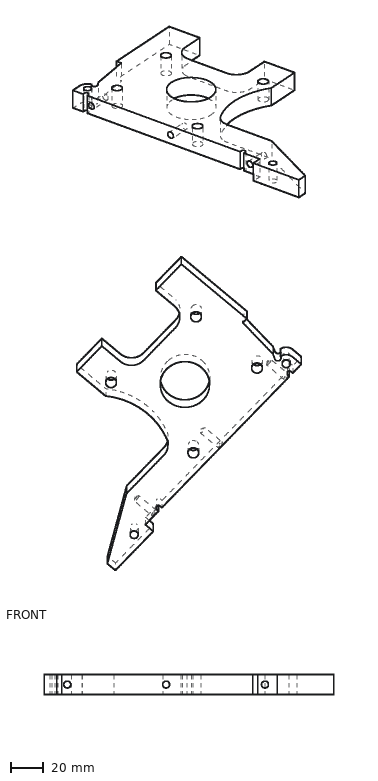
import cadquery as cq
import math

length = 176.0
depth = 104.5
thickness = 12.3
front_edge_y = 6.5
tab_left_x = 141.5

slot_left_x = 23.2
slot_width = 49.0
slot_floor_y = 79.4
prong_right_x = 95.0
corner_radius = 10.0

sweep_radius = 46.0
sweep_left_x = 86.6
sweep_center_y = 54.4
arm_top_y = 28.7
arm_slope_start_x = 134.0

step_y = 50.9
step_width = 3.5
slant_angle = 6.3
relief_center = (6.5, 19.9)
relief_radius = 2.0
slant_end_y = 23.8
lobe_radius = 6.0
lobe_center = (lobe_radius, 13.5)

notch_width = 3.0
notch_depth = 2.8
first_notch_x = 9.3
notch_spacing = 118.8

bore_center = (57.2, 50.2)
bore_diameter = 30.0
mount_hole_diameter = 6.5
mount_hole_centers = [(19.7, 74.8), (19.9, 24.8), (86.2, 84.3), (87.1, 16.4)]
pin_hole_diameter = 5.0
pin_hole_centers = [lobe_center, (151.0, 7.2)]

edge_hole_diameter = 4.2
edge_hole_depth = 14.0
edge_hole_spacing = 60.0
first_edge_hole_x = 14.0
edge_hole_count = 3
drill_point_angle = 118.0


def plate():
    """Extruded outline, before the notches, relief and holes are cut."""
    sweep_center_x = sweep_left_x + sweep_radius
    sweep_top_y = sweep_center_y + math.sqrt(sweep_radius**2 - (sweep_center_x - prong_right_x) ** 2)

    center_distance = sweep_radius - corner_radius
    blend_center_y = arm_top_y + corner_radius
    blend_drop = sweep_center_y - blend_center_y
    blend_center_x = sweep_center_x - math.sqrt(center_distance**2 - blend_drop**2)
    blend_angle = math.asin(blend_drop / center_distance)
    blend_start = (
        sweep_center_x - sweep_radius * math.cos(blend_angle),
        sweep_center_y - sweep_radius * math.sin(blend_angle),
    )
    middle_angle = (blend_angle + math.pi / 2) / 2
    blend_middle = (
        blend_center_x - corner_radius * math.cos(middle_angle),
        blend_center_y - corner_radius * math.sin(middle_angle),
    )

    slant = math.tan(math.radians(slant_angle))
    step_inner_y = step_y + step_width * slant
    slant_end_x = step_width + (step_inner_y - slant_end_y) * slant

    relief_dx = slant_end_x - relief_center[0]
    relief_dy = slant_end_y - relief_center[1]
    relief_distance = math.hypot(relief_dx, relief_dy)
    tangent_angle = math.atan2(relief_dy, relief_dx) - math.acos(relief_radius / relief_distance)
    flat_end = (
        relief_center[0] + relief_radius * math.cos(tangent_angle),
        relief_center[1] + relief_radius * math.sin(tangent_angle),
    )

    slot_right_x = slot_left_x + slot_width
    diagonal = corner_radius * (1 - math.sqrt(0.5))
    lobe_top = (lobe_center[0], lobe_center[1] + lobe_radius)
    lobe_middle = (
        lobe_center[0] - lobe_radius * math.sqrt(0.5),
        lobe_center[1] + lobe_radius * math.sqrt(0.5),
    )

    return (
        cq.Workplane("XY")
        .moveTo(0, front_edge_y)
        .lineTo(tab_left_x, front_edge_y)
        .lineTo(tab_left_x, 0)
        .lineTo(length, 0)
        .lineTo(length, front_edge_y)
        .lineTo(arm_slope_start_x, arm_top_y)
        .lineTo(blend_center_x, arm_top_y)
        .threePointArc(blend_middle, blend_start)
        .threePointArc((sweep_left_x, sweep_center_y), (prong_right_x, sweep_top_y))
        .lineTo(prong_right_x, depth)
        .lineTo(slot_right_x, depth)
        .lineTo(slot_right_x, slot_floor_y + corner_radius)
        .threePointArc(
            (slot_right_x - diagonal, slot_floor_y + diagonal),
            (slot_right_x - corner_radius, slot_floor_y),
        )
        .lineTo(slot_left_x + corner_radius, slot_floor_y)
        .threePointArc(
            (slot_left_x + diagonal, slot_floor_y + diagonal),
            (slot_left_x, slot_floor_y + corner_radius),
        )
        .lineTo(slot_left_x, depth)
        .lineTo(0, depth)
        .lineTo(0, step_y)
        .lineTo(step_width, step_inner_y)
        .lineTo(slant_end_x, slant_end_y)
        .lineTo(*flat_end)
        .lineTo(*relief_center)
        .lineTo(*lobe_top)
        .threePointArc(lobe_middle, (0, lobe_center[1]))
        .close()
        .extrude(thickness)
    )


def vertical_holes(centers, diameter):
    return cq.Workplane("XY").pushPoints(centers).circle(diameter / 2).extrude(thickness)


def front_notch(x):
    """Notch with a half-round inner end."""
    radius = notch_width / 2
    straight_end_y = front_edge_y + notch_depth - radius
    return (
        cq.Workplane("XY")
        .moveTo(x - radius, front_edge_y)
        .lineTo(x + radius, front_edge_y)
        .lineTo(x + radius, straight_end_y)
        .threePointArc((x, straight_end_y + radius), (x - radius, straight_end_y))
        .close()
        .extrude(thickness)
    )


def edge_hole(x):
    """Drilled hole along +Y with a conical bottom, at mid thickness."""
    radius = edge_hole_diameter / 2
    tip_length = radius / math.tan(math.radians(drill_point_angle / 2))
    return (
        cq.Workplane("XY", origin=(x, front_edge_y, thickness / 2))
        .lineTo(radius, 0)
        .lineTo(radius, edge_hole_depth)
        .lineTo(0, edge_hole_depth + tip_length)
        .close()
        .revolve(360, (0, 0, 0), (0, 1, 0))
    )


result = plate()
result = result.cut(vertical_holes([relief_center], 2 * relief_radius))
result = result.cut(vertical_holes([bore_center], bore_diameter))
result = result.cut(vertical_holes(mount_hole_centers, mount_hole_diameter))
result = result.cut(vertical_holes(pin_hole_centers, pin_hole_diameter))

for notch_x in (first_notch_x, first_notch_x + notch_spacing):
    result = result.cut(front_notch(notch_x))

for index in range(edge_hole_count):
    result = result.cut(edge_hole(first_edge_hole_x + index * edge_hole_spacing))